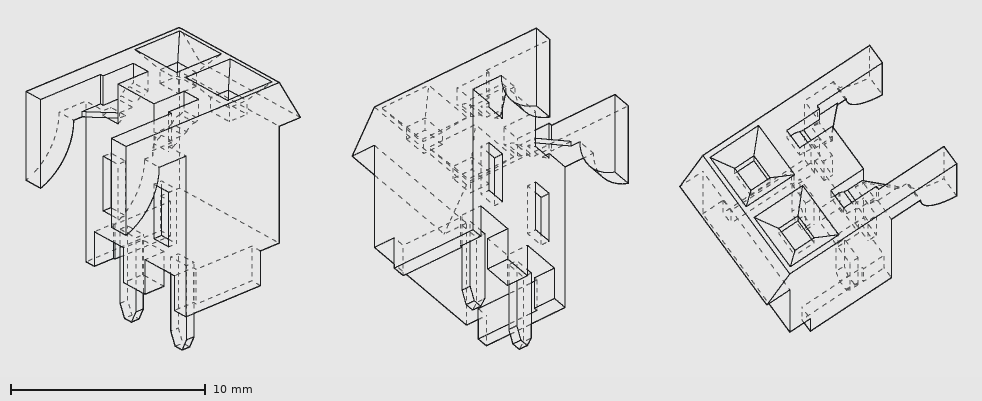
import cadquery as cq


pole_pitch = 3.96
pole_centres = (-pole_pitch / 2, pole_pitch / 2)
width = 7.82
height = 11.43
depth = 6.36
foot_height = 2.03
foot_setback = 1.28
hook_reach = 1.44
hook_height = 2.57

arm_length = 4.08
arm_thickness = 1.15
arm_height = 2.03
arm_tip_drop = 5.20
arm_tip_length = 2.26
arm_tip_radius = 3.36

funnel_y = 4.60
funnel_mouth = (3.25, 3.03)
funnel_throat = (1.45, 1.20)
funnel_depth = 1.13
throat_depth = 0.81

slot_width = 1.15
slot_depth = 2.05
slot_mouth_drop = 2.33
slot_sill_run = 0.52
contact_drops = (1.14, 1.28, 1.605, 1.72)
contact_ys = (slot_depth, 1.80, 1.23, 1.00)
bend_radius = 0.58

web_side = 1.35
web_corner_y = 0.09
web_top = height - contact_drops[-1]
web_bottom = height - arm_height

window_top_drop = 4.70
window_height = 3.19
window_depth = 0.52

front_wall = 1.30
notch_width = 2.29
notch_offset = -0.125
left_rear_foot = 0.765
right_rear_foot = 0.69

pin_width = 1.24
pin_thickness = 0.52
pin_front = 1.18
pin_length = 3.05
pin_tip_width = 0.55
pin_tip_length = 0.74


def box(x_min, x_max, y_min, y_max, z_min, z_max):
    """Axis-aligned block between the given limits."""
    block = cq.Workplane("XY").box(x_max - x_min, y_max - y_min, z_max - z_min, centered=False)
    return block.translate((x_min, y_min, z_min))


def extrude_across(profile, x_centre, thickness):
    """Extrude a closed YZ profile along X, centred on x_centre."""
    return profile.extrude(thickness / 2, both=True).translate((x_centre, 0, 0))


def make_housing():
    """Block with the overhanging rear hook and the stepped rear foot."""
    profile = (
        cq.Workplane("YZ")
        .polyline([
            (0, 0),
            (depth - foot_setback, 0),
            (depth - foot_setback, foot_height),
            (depth, foot_height),
            (depth, height - hook_height),
            (depth + hook_reach, height - hook_height),
            (depth, height),
            (0, height),
        ])
        .close()
    )
    return extrude_across(profile, 0, width)


def make_arm(side):
    """Forward arm whose finger curves down to the tip; side is -1 or +1."""
    finger_y = -arm_length + arm_tip_length
    profile = (
        cq.Workplane("YZ")
        .moveTo(0, height)
        .lineTo(0, height - arm_height)
        .lineTo(finger_y, height - arm_height)
        .radiusArc((-arm_length, height - arm_tip_drop), arm_tip_radius)
        .lineTo(-arm_length, height)
        .close()
    )
    return extrude_across(profile, side * (width - arm_thickness) / 2, arm_thickness)


def make_funnel(x):
    """Tapered wire entry followed by a short straight throat."""
    taper = (
        cq.Workplane("XY", origin=(x, funnel_y, height))
        .rect(*funnel_mouth)
        .workplane(offset=-funnel_depth)
        .rect(*funnel_throat)
        .loft(combine=True)
    )
    throat = (
        cq.Workplane("XY", origin=(x, funnel_y, height - funnel_depth))
        .rect(*funnel_throat)
        .extrude(-throat_depth)
    )
    return taper.union(throat)


def make_contact_slot(x):
    """Slot above the bent contact strip, with a sloping sill below the strip."""
    rear, bend_start, bend_end, front = [
        (y, height - drop) for y, drop in zip(contact_ys, contact_drops)
    ]
    profile = (
        cq.Workplane("YZ")
        .moveTo(slot_depth, height)
        .lineTo(*rear)
        .lineTo(*bend_start)
        .radiusArc(bend_end, -bend_radius)
        .lineTo(*front)
        .lineTo(web_corner_y, web_top)
        .lineTo(web_corner_y, web_bottom)
        .lineTo(slot_sill_run, web_bottom)
        .lineTo(0, height - slot_mouth_drop)
        .lineTo(0, height)
        .close()
    )
    return extrude_across(profile, x, slot_width)


def make_web(side):
    """Triangular web from the slot's inner wall to the arm, level with the arm's underside."""
    arm_x = side * (width / 2 - arm_thickness)
    slot_inner_x = side * (pole_pitch / 2 - slot_width / 2)
    return (
        cq.Workplane("XY", origin=(0, 0, web_bottom))
        .polyline([
            (arm_x, web_corner_y),
            (slot_inner_x, web_corner_y),
            (arm_x, web_corner_y - web_side),
        ])
        .close()
        .extrude(web_top - web_bottom)
    )


def make_window(x):
    """Shallow rectangular window in the front face."""
    top = height - window_top_drop
    return box(x - slot_width / 2, x + slot_width / 2, 0, window_depth, top - window_height, top)


def make_foot_notch(x):
    """Gap in the front wall around a pin."""
    centre = x + notch_offset
    return box(centre - notch_width / 2, centre + notch_width / 2, 0, front_wall, 0, foot_height)


def make_rear_foot_gap():
    """Wide gap behind the front wall, leaving only the two side feet."""
    return box(-width / 2 + left_rear_foot, width / 2 - right_rear_foot, front_wall, depth, 0, foot_height)


def make_pin(x):
    """Flat solder pin with a tapered tip."""
    half = pin_width / 2
    half_tip = pin_tip_width / 2
    taper_z = -pin_length + pin_tip_length
    return (
        cq.Workplane("XZ", origin=(x, pin_front, 0))
        .polyline([
            (-half, foot_height),
            (-half, taper_z),
            (-half_tip, -pin_length),
            (half_tip, -pin_length),
            (half, taper_z),
            (half, foot_height),
        ])
        .close()
        .extrude(-pin_thickness)
    )


result = make_housing().cut(make_rear_foot_gap())
for pole_x in pole_centres:
    result = result.cut(make_funnel(pole_x))
    result = result.cut(make_contact_slot(pole_x))
    result = result.cut(make_window(pole_x))
    result = result.cut(make_foot_notch(pole_x))
for pole_x in pole_centres:
    result = result.union(make_pin(pole_x))
for arm_side in (-1, 1):
    result = result.union(make_arm(arm_side))
    result = result.union(make_web(arm_side))